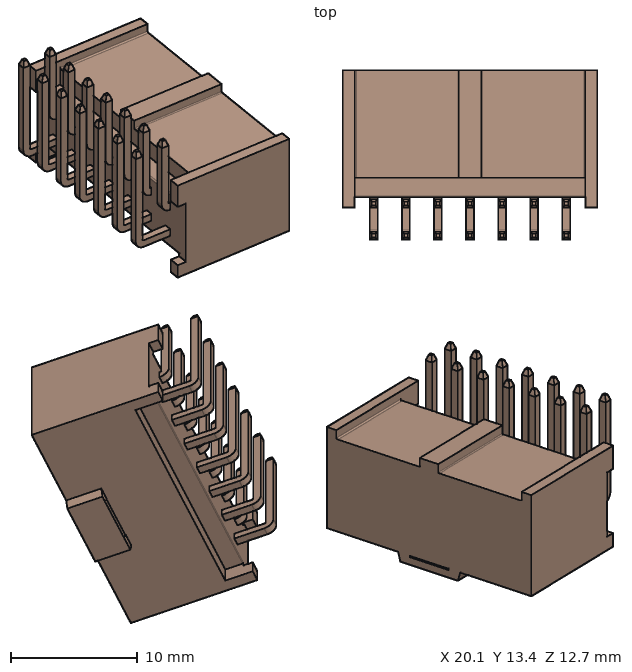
import cadquery as cq


length = 20.12
height = 8.95
side_depth = 10.86
side_thickness = 0.95
back_depth = 10.05
core_depth = 8.51
core_height = 8.17
inner_length = length - 2 * side_thickness
back_bottom = 1.47
back_top = 6.62
back_top_edge_radius = 0.12
back_bottom_edge_radius = 0.06
notch_bottom = 1.2
notch_top = 6.88
wall_foot_radius = 0.12

rib_width = 1.81
rib_foot_radius = 0.08

key_depth = 3.02
key_height = 0.8
key_top_width = 6.12
key_bottom_width = 5.67
key_slot_width = 3.82
key_slot_height = 0.12

pins_per_row = 7
pitch = 2.54
pin_size = 0.65
pin_bend_inner = 0.15
pin_bend_outer = pin_bend_inner + pin_size
pin_tip_z = 11.85
pin_tip_height = 0.5
pin_tip_size = 0.28
lower_leg_z = 2.5
outer_pin_y = 13.4
pin_embed = 0.4


def block(width, y_near, y_far, z_low, z_high):
    """Box centred on X, between two depths behind the mating face."""
    return (
        cq.Workplane("XY")
        .box(width, y_far - y_near, z_high - z_low, centered=(True, False, False))
        .translate((0, -y_far, z_low))
    )


def side_wall(side):
    """End wall with a notch in its back edge; side is -1 or +1."""
    wall = block(side_thickness, 0, side_depth, 0, height)
    notch = block(side_thickness, back_depth, side_depth, notch_bottom, notch_top)
    return wall.cut(notch).translate((side * (length - side_thickness) / 2, 0, 0))


def foot_fillet(x, direction, radius):
    """Concave fillet along Y between the top face and an upright face at x."""
    arc_offset = radius * (1 - 0.5 ** 0.5)
    return (
        cq.Workplane("XZ")
        .moveTo(x, core_height)
        .lineTo(x + direction * radius, core_height)
        .threePointArc(
            (x + direction * arc_offset, core_height + arc_offset),
            (x, core_height + radius),
        )
        .close()
        .extrude(core_depth)
    )


def housing():
    """Stepped housing: deep back block, core, top rib and end walls with filleted feet."""
    back = block(inner_length, 0, back_depth, back_bottom, back_top)
    back = back.edges("<Y and >Z").fillet(back_top_edge_radius)
    back = back.edges("|X and <Z").edges("<Y").fillet(back_bottom_edge_radius)
    body = back.union(block(inner_length, 0, core_depth, 0, core_height))
    body = body.union(block(rib_width, 0, core_depth, 0, height))
    for side in (-1, 1):
        body = body.union(side_wall(side))
        body = body.union(foot_fillet(side * inner_length / 2, -side, wall_foot_radius))
        body = body.union(foot_fillet(side * rib_width / 2, side, rib_foot_radius))
    return body


def key():
    """Tapered key with a shallow slot between it and the housing."""
    wedge = (
        cq.Workplane("XZ")
        .polyline([
            (-key_top_width / 2, 0),
            (key_top_width / 2, 0),
            (key_bottom_width / 2, -key_height),
            (-key_bottom_width / 2, -key_height),
        ])
        .close()
        .extrude(key_depth)
    )
    return wedge.cut(block(key_slot_width, 0, key_depth, -key_slot_height, 0))


def pin(outer_y, leg_z):
    """Bent square pin: a leg out of the housing, then a post with a tapered tip."""
    leg_start = back_depth - pin_embed
    shoulder_z = pin_tip_z - pin_tip_height
    inner_y = outer_y - pin_size
    leg = block(pin_size, leg_start, outer_y, leg_z, leg_z + pin_size)
    post = block(pin_size, inner_y, outer_y, leg_z, shoulder_z)
    bent = leg.union(post)
    bent = bent.edges("|X and <Y and <Z").fillet(pin_bend_outer)
    inner_corner = cq.selectors.NearestToPointSelector((0, -inner_y, leg_z + pin_size))
    bent = bent.edges("|X").edges(inner_corner).fillet(pin_bend_inner)
    tip = (
        cq.Workplane("XY", origin=(0, pin_size / 2 - outer_y, shoulder_z))
        .rect(pin_size, pin_size)
        .workplane(offset=pin_tip_height)
        .rect(pin_tip_size, pin_tip_size)
        .loft(ruled=True)
    )
    return bent.union(tip)


result = housing().union(key())
for row in range(2):
    row_pin = pin(outer_pin_y - row * pitch, lower_leg_z + row * pitch)
    for i in range(pins_per_row):
        pin_x = (i - (pins_per_row - 1) / 2) * pitch
        result = result.union(row_pin.translate((pin_x, 0, 0)))